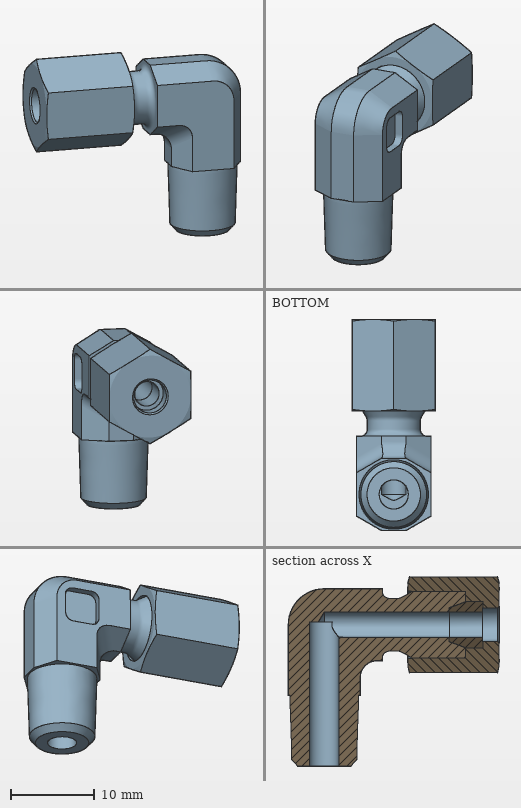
import cadquery as cq
import math

COS_30 = math.cos(math.radians(30))
TAN_30 = math.tan(math.radians(30))

leg_across_flats = 9.0
flat_width = 3.0
leg_half_width = leg_across_flats / 2
flat_half_width = flat_width / 2
leg_shoulder = leg_half_width * TAN_30
leg_half_depth = leg_across_flats / (2 * COS_30) - flat_half_width * TAN_30
inner_bend_radius = 2.0

total_length = 25.33
axis_y = total_length - leg_half_depth
axis_z = 17.0
leg_bottom_z = 8.5
leg_front_y = 14.0

stem_diameter = 8.33
stem_end_diameter = 6.4
stem_straight_length = 0.5
stem_tip_length = 0.84
stem_taper = 1 / 16

neck_diameter = 6.4
neck_relief_radius = 0.9
neck_relief_y = 12.15
spigot_diameter = 8.0

stem_bore_diameter = 3.5
stem_bore_overrun = 0.33
bore_diameter = 3.0
drill_half_angle = 59.0

recess_size = 4.35
recess_radius = 1.0
recess_depth = 1.0
recess_y = 20.3
recess_z = 16.3

nut_across_flats = 10.0
nut_length = 11.0
nut_chamfer_angle = 15.0
tube_diameter = 4.0
tube_lead_diameter = 4.38
nut_wall = 2.0

ferrule_diameter = 5.5
ferrule_straight_length = 2.0
ferrule_tip_length = 2.0
spigot_end_y = nut_wall + ferrule_straight_length
ferrule_end_y = spigot_end_y + ferrule_tip_length


def turned_about_nut_axis(sketch):
    """Revolve an outline of (radius, Y) points and lift it onto the nut axis."""
    turned = sketch.close().revolve(360, (0, 0, 0), (0, 1, 0))
    return turned.translate((0, 0, axis_z))


def turned_about_stem_axis(sketch):
    """Revolve an outline of (radius, Z) points about the stem axis."""
    turned = sketch.close().revolve(360, (0, 0, 0), (0, 1, 0))
    return turned.translate((0, axis_y, 0))


def leg_section(plane):
    """Eight-sided leg section centred on the given plane."""
    quarter = [(leg_half_width, leg_shoulder), (flat_half_width, leg_half_depth)]
    upper = quarter + [(-x, d) for x, d in reversed(quarter)]
    lower = [(-x, -d) for x, d in upper]
    return cq.Workplane(plane).polyline(upper + lower).close()


def make_bend():
    """Outer quarter bend: half of the leg section swung about the X axis."""
    half = [
        (-leg_half_width, 0),
        (-leg_half_width, leg_shoulder),
        (-flat_half_width, leg_half_depth),
        (flat_half_width, leg_half_depth),
        (leg_half_width, leg_shoulder),
        (leg_half_width, 0),
    ]
    bend = cq.Workplane("XY").polyline(half).close().revolve(90, (0, 0, 0), (1, 0, 0))
    return bend.translate((0, axis_y, axis_z))


def web_triangle(x, depth, setback):
    """Triangle at X from the inner corner of the leg faces back along both faces."""
    corner_y = axis_y - depth
    corner_z = axis_z - depth
    triangle = cq.Workplane("YZ", origin=(x, 0, 0)).polyline([
        (corner_y, corner_z),
        (corner_y - setback, corner_z),
        (corner_y, corner_z - setback),
    ])
    return triangle.close().val()


def web_prism(start, end, setback):
    """Filling of the inner corner between two (X, depth) stations."""
    triangles = [web_triangle(x, depth, setback) for x, depth in (start, end)]
    return cq.Workplane(cq.Solid.makeLoft(triangles, True))


def web_cylinder(start, end, offset):
    """Cylinder of the inner bend radius, its axis offset from the corner edge in -Y and -Z."""
    first, last = [
        cq.Vector(x, axis_y - depth - offset, axis_z - depth - offset) for x, depth in (start, end)
    ]
    along = last - first
    return cq.Workplane(cq.Solid.makeCylinder(inner_bend_radius, along.Length, first, along))


def make_inner_web():
    """Rounding of the inner corner: one cylinder on the flats and one on each sloping side."""
    left = (-flat_half_width, leg_half_depth)
    right = (flat_half_width, leg_half_depth)
    web = web_prism(left, right, inner_bend_radius)
    slope_setback = inner_bend_radius * COS_30
    for side in (-1, 1):
        inner = (side * flat_half_width, leg_half_depth)
        outer = (side * leg_half_width, leg_shoulder)
        web = web.union(web_prism(inner, outer, slope_setback))
    web = web.cut(web_cylinder(left, right, inner_bend_radius))
    slope_offset = inner_bend_radius / COS_30
    for side in (-1, 1):
        inner = (0, leg_half_depth + flat_half_width * TAN_30)
        outer = (side * leg_across_flats, leg_half_depth + (flat_half_width - leg_across_flats) * TAN_30)
        web = web.cut(web_cylinder(inner, outer, slope_offset))
    return web


def make_legs():
    down_plane = cq.Plane((0, axis_y, axis_z), (1, 0, 0), (0, 0, -1))
    front_plane = cq.Plane((0, axis_y, axis_z), (1, 0, 0), (0, -1, 0))
    down_leg = leg_section(down_plane).extrude(axis_z - leg_bottom_z)
    front_leg = leg_section(front_plane).extrude(axis_y - leg_front_y)
    return down_leg.union(front_leg).union(make_bend()).union(make_inner_web())


def make_stem():
    straight_bottom_z = leg_bottom_z - stem_straight_length
    taper_length = straight_bottom_z - stem_tip_length
    tip_diameter = stem_diameter - stem_taper * taper_length
    outline = cq.Workplane("XZ").polyline([
        (0, 0),
        (stem_end_diameter / 2, 0),
        (tip_diameter / 2, stem_tip_length),
        (stem_diameter / 2, straight_bottom_z),
        (stem_diameter / 2, leg_bottom_z),
        (0, leg_bottom_z),
    ])
    return turned_about_stem_axis(outline)


def make_spigot():
    """Neck with a quarter round at the leg and a 30 degree relief cone up to the spigot."""
    neck_radius = neck_diameter / 2
    spigot_radius = spigot_diameter / 2
    root_radius = spigot_radius - neck_radius
    root_start_y = leg_front_y - root_radius
    root_sag = root_radius * (1 - math.sqrt(0.5))

    def relief_point(angle):
        return (
            neck_radius + neck_relief_radius * (1 - math.cos(angle)),
            neck_relief_y - neck_relief_radius * math.sin(angle),
        )

    relief_angle = math.radians(30)
    relief_end = relief_point(relief_angle)
    cone_end_y = relief_end[1] - (spigot_radius - relief_end[0]) / TAN_30
    outline = (
        cq.Workplane("XY")
        .moveTo(0, spigot_end_y)
        .lineTo(spigot_radius, spigot_end_y)
        .lineTo(spigot_radius, cone_end_y)
        .lineTo(*relief_end)
        .threePointArc(relief_point(relief_angle / 2), (neck_radius, neck_relief_y))
        .lineTo(neck_radius, root_start_y)
        .threePointArc((neck_radius + root_sag, leg_front_y - root_sag), (spigot_radius, leg_front_y))
        .lineTo(0, leg_front_y)
    )
    return turned_about_nut_axis(outline)


def make_stem_bore():
    return (
        cq.Workplane("XY")
        .center(0, axis_y)
        .circle(stem_bore_diameter / 2)
        .extrude(axis_z + stem_bore_overrun)
    )


def make_spigot_bore():
    """Bore from the spigot end to the stem axis, with a drill cone beyond."""
    bore_radius = bore_diameter / 2
    cone_length = bore_radius / math.tan(math.radians(drill_half_angle))
    outline = cq.Workplane("XY").polyline([
        (0, spigot_end_y),
        (bore_radius, spigot_end_y),
        (bore_radius, axis_y),
        (0, axis_y + cone_length),
    ])
    return turned_about_nut_axis(outline)


def make_ferrule_tip():
    """Tapered end of the ferrule, which is also the shape of its seat in the spigot."""
    outline = cq.Workplane("XY").polyline([
        (0, spigot_end_y),
        (ferrule_diameter / 2, spigot_end_y),
        (tube_diameter / 2, ferrule_end_y),
        (0, ferrule_end_y),
    ])
    return turned_about_nut_axis(outline)


def make_recess():
    recess = cq.Workplane("XY").box(recess_depth, recess_size, recess_size)
    recess = recess.edges("|X").fillet(recess_radius)
    return recess.translate((-leg_half_width + recess_depth / 2, recess_y, recess_z))


def make_elbow():
    elbow = make_legs().union(make_stem()).union(make_spigot())
    elbow = elbow.cut(make_stem_bore()).cut(make_spigot_bore())
    return elbow.cut(make_ferrule_tip()).cut(make_recess())


def make_nut():
    corner_radius = nut_across_flats / (2 * COS_30)
    face_radius = nut_across_flats / 2
    chamfer_slope = math.tan(math.radians(nut_chamfer_angle))
    chamfer_length = (corner_radius - face_radius) * chamfer_slope
    hexagon = (
        cq.Workplane("XZ", origin=(0, 0, axis_z))
        .transformed(rotate=(0, 0, 30))
        .polygon(6, 2 * corner_radius)
        .extrude(-nut_length)
    )
    chamfer_envelope = cq.Workplane("XY").polyline([
        (0, 0),
        (face_radius, 0),
        (corner_radius, chamfer_length),
        (corner_radius, nut_length - chamfer_length),
        (face_radius, nut_length),
        (0, nut_length),
    ])
    lead_length = (tube_lead_diameter - tube_diameter) / 2
    inside = cq.Workplane("XY").polyline([
        (0, 0),
        (tube_lead_diameter / 2, 0),
        (tube_diameter / 2, lead_length),
        (tube_diameter / 2, nut_wall),
        (ferrule_diameter / 2, nut_wall),
        (ferrule_diameter / 2, spigot_end_y),
        (spigot_diameter / 2, spigot_end_y),
        (spigot_diameter / 2, nut_length),
        (0, nut_length),
    ])
    nut = hexagon.intersect(turned_about_nut_axis(chamfer_envelope))
    return nut.cut(turned_about_nut_axis(inside))


def make_ferrule():
    bore_radius = bore_diameter / 2
    outline = cq.Workplane("XY").polyline([
        (bore_radius, nut_wall),
        (ferrule_diameter / 2, nut_wall),
        (ferrule_diameter / 2, spigot_end_y),
        (tube_diameter / 2, ferrule_end_y),
        (bore_radius, ferrule_end_y),
    ])
    return turned_about_nut_axis(outline)


elbow = make_elbow()
nut = make_nut()
ferrule = make_ferrule()

result = cq.Compound.makeCompound([elbow.val(), nut.val(), ferrule.val()])